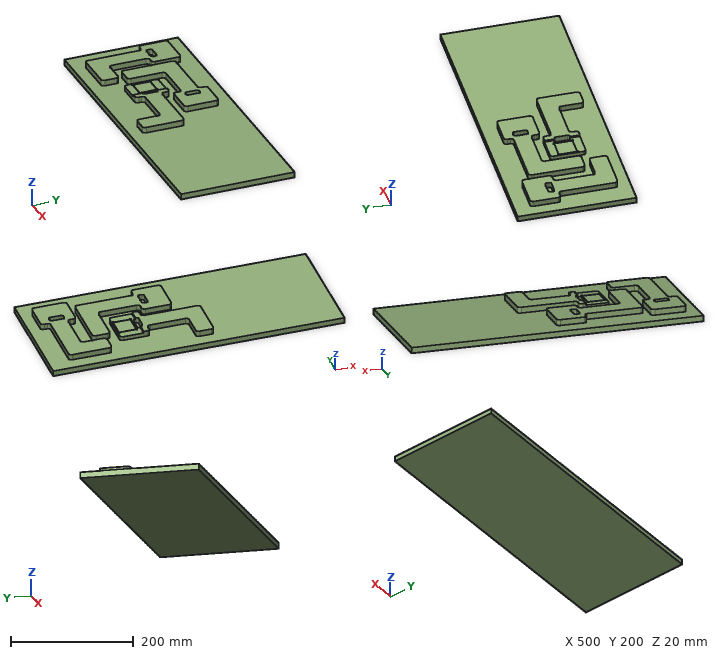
import cadquery as cq

plate_length = 500.0
plate_width = 200.0
plate_thickness = 10.0

hook_thickness = 10.0
head_length = 51.0
head_width = 60.0
shank_width = 30.0
corner_radius = 5.0

slot_length = 24.5
slot_width = 10.5
slot_corner_radius = 3.5
slot_offset = 40.0

down_hook_axis_x = 50.0
down_hook_head_y = 173.0
down_hook_length = 151.0
down_hook_foot_reach = 58.5

left_hook_axis_y = 143.0
left_hook_head_x = 241.5
left_hook_length = 152.5
left_hook_foot_reach = 80.0

right_hook_axis_y = 80.5
right_hook_head_x = 132.0
right_hook_length = 151.5
right_hook_foot_reach = 58.0

step_depth = 3.0
step_length = slot_offset
seat_slot_length = 26.0
seat_slot_width = 9.0
pocket_length = 30.0
pocket_width = 31.0
pocket_inset = 2.5
pocket_depth = 0.5
relief_radius = 1.5


def make_plate():
    return cq.Workplane("XY").box(plate_length, plate_width, plate_thickness, centered=False)


def make_slot(length, width):
    """Through slot across the shank axis, for a hook with its head edge at x = 0."""
    return (
        cq.Workplane("XY")
        .center(slot_offset, 0)
        .rect(width, length)
        .extrude(hook_thickness)
        .edges("|Z")
        .fillet(slot_corner_radius)
    )


def make_hook(length, foot_reach, foot_side):
    """Hook along +X from its head edge at x = 0; the foot points to foot_side (+1 or -1) in Y.

    foot_reach is measured from the shank centre line to the foot end.
    """
    half_head = head_width / 2
    half_shank = shank_width / 2
    outline = [
        (0, -half_head),
        (head_length, -half_head),
        (head_length, -half_shank),
        (length, -half_shank),
        (length, foot_reach),
        (length - shank_width, foot_reach),
        (length - shank_width, half_shank),
        (head_length, half_shank),
        (head_length, half_head),
        (0, half_head),
    ]
    return (
        cq.Workplane("XY")
        .polyline([(x, foot_side * y) for x, y in outline])
        .close()
        .extrude(hook_thickness)
        .edges("|Z")
        .fillet(corner_radius)
    )


def make_plain_hook(length, foot_reach, foot_side):
    return make_hook(length, foot_reach, foot_side).cut(make_slot(slot_length, slot_width))


def make_seat():
    """Material removed for the seat: a shallow step with a relieved rectangular pocket in its floor."""
    step = (
        cq.Workplane("XY", origin=(0, 0, hook_thickness - step_depth))
        .rect(2 * step_length, head_width)
        .extrude(step_depth)
    )
    pocket_floor = hook_thickness - step_depth - pocket_depth
    pocket = (
        cq.Workplane("XY", origin=(pocket_inset + pocket_length / 2, 0, pocket_floor))
        .rect(pocket_length, pocket_width)
        .extrude(pocket_depth)
    )
    reliefs = (
        cq.Workplane("XY", origin=(pocket_inset + pocket_length / 2, 0, pocket_floor))
        .rect(pocket_length, pocket_width, forConstruction=True)
        .vertices()
        .circle(relief_radius)
        .extrude(pocket_depth)
    )
    return step.union(pocket).union(reliefs)


def make_seat_hook(length, foot_reach, foot_side):
    slot = make_slot(seat_slot_length, seat_slot_width)
    return make_hook(length, foot_reach, foot_side).cut(slot).cut(make_seat())


def place(hook, direction, head_x, head_y):
    """Turn a hook so its shank points along direction (degrees from +X) and rest it on the plate."""
    return hook.rotate((0, 0, 0), (0, 0, 1), direction).translate((head_x, head_y, plate_thickness))


plate = make_plate()
down_hook = place(
    make_plain_hook(down_hook_length, down_hook_foot_reach, 1),
    -90, down_hook_axis_x, down_hook_head_y,
)
left_hook = place(
    make_plain_hook(left_hook_length, left_hook_foot_reach, 1),
    180, left_hook_head_x, left_hook_axis_y,
)
right_hook = place(
    make_seat_hook(right_hook_length, right_hook_foot_reach, -1),
    0, right_hook_head_x, right_hook_axis_y,
)

result = cq.Compound.makeCompound([plate.val(), down_hook.val(), left_hook.val(), right_hook.val()])